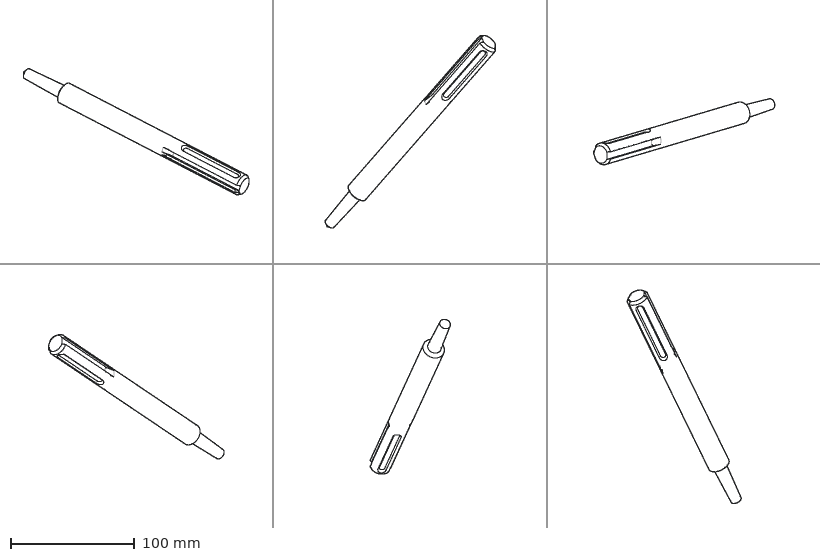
import cadquery as cq
import math

total_length = 220.0
body_radius = 9.0

tip_length = 3.2
tip_radius = 4.5
neck_end_radius = 5.6
neck_end_x = 38.6

shoulder_length = 2.0
end_chamfer_length = 2.5
end_chamfer_height = 1.8

lock_start_x = 158.6
lock_end_x = 215.1
lock_half_width = 3.4
lock_floor_half_width = 2.2
lock_depth = 1.5

paired_groove_start_x = 144.5
single_groove_start_x = 154.0
groove_runout_length = 9.5
groove_depth = 2.3
paired_groove_width = 4.3
single_groove_width = 6.0
paired_groove_angle = 24.0

clearance = 2.0


def make_shank():
    """Solid of revolution about X: tip, neck, shoulder, body and end chamfer."""
    profile = (
        cq.Workplane("XY")
        .moveTo(0, 0)
        .lineTo(tip_length, tip_radius)
        .lineTo(neck_end_x, neck_end_radius)
        .lineTo(neck_end_x + shoulder_length, body_radius)
        .lineTo(total_length - end_chamfer_length, body_radius)
        .lineTo(total_length, body_radius - end_chamfer_height)
        .lineTo(total_length, 0)
        .close()
    )
    return profile.revolve(360, (0, 0, 0), (1, 0, 0))


def make_lock_slot():
    """Round-ended slot cutter on the +Z side, with walls narrowing towards a flat floor."""
    edge_height = math.sqrt(body_radius**2 - lock_half_width**2)
    floor_height = edge_height - lock_depth
    wall_slope = (lock_half_width - lock_floor_half_width) / lock_depth
    cutter_height = body_radius + clearance - floor_height
    top_half_width = lock_floor_half_width + wall_slope * cutter_height
    slot_centre_x = (lock_start_x + lock_end_x) / 2
    straight_length = lock_end_x - lock_start_x - 2 * lock_half_width
    return (
        cq.Workplane("XY", origin=(slot_centre_x, 0, floor_height + cutter_height))
        .slot2D(straight_length + 2 * top_half_width, 2 * top_half_width)
        .extrude(-cutter_height, taper=math.degrees(math.atan(wall_slope)))
    )


def make_groove_sleeve(start_x):
    """Ring coaxial with the shank that limits the grooves: conical run-out, then open to the end."""
    runout_slope = groove_depth / groove_runout_length
    core_radius = body_radius - groove_depth - clearance
    outer_radius = body_radius + clearance
    cutter_end_x = total_length + clearance
    profile = (
        cq.Workplane("XY")
        .moveTo(start_x - clearance / runout_slope, outer_radius)
        .lineTo(start_x + (body_radius - core_radius) / runout_slope, core_radius)
        .lineTo(cutter_end_x, core_radius)
        .lineTo(cutter_end_x, outer_radius)
        .close()
    )
    return profile.revolve(360, (0, 0, 0), (1, 0, 0))


def make_groove(start_x, width, angle):
    """Flat-floored groove cutter on the -Y side, turned about X by the given angle."""
    length = total_length + clearance
    cutter = cq.Workplane("XY").box(length, groove_depth + clearance, width, centered=(False, False, True))
    cutter = cutter.translate((0, -body_radius - clearance, 0))
    return cutter.intersect(make_groove_sleeve(start_x)).rotate((0, 0, 0), (1, 0, 0), angle)


result = make_shank()

lock_slot = make_lock_slot()
for side_angle in (0, 180):
    result = result.cut(lock_slot.rotate((0, 0, 0), (1, 0, 0), side_angle))

for groove_angle in (-paired_groove_angle, paired_groove_angle):
    result = result.cut(make_groove(paired_groove_start_x, paired_groove_width, groove_angle))

result = result.cut(make_groove(single_groove_start_x, single_groove_width, 180))